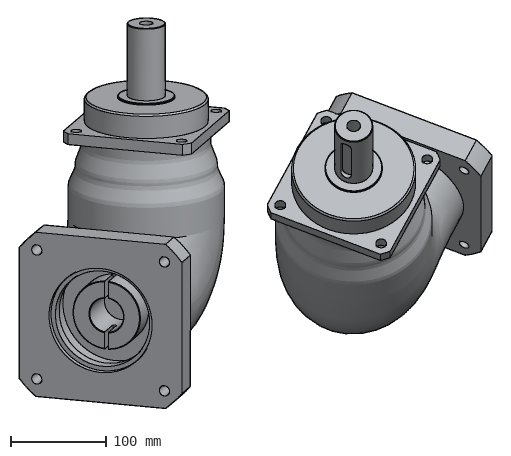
import cadquery as cq
import math


overall_height = 372.7
input_flange_width = 180.0

shaft_top = overall_height - input_flange_width / 2
collar_top = 203.5
pilot_top = 201.5
output_flange_top = 175.5
output_flange_bottom = 163.5
neck_end = 149.5
collar_band_top = 131.0
collar_band_bottom = 123.5
body_cone_end = 106.5

shaft_radius = 20.0
collar_radius = 30.2
collar_chamfer = 0.7
pilot_radius = 65.2
neck_radius = 68.0
collar_band_radius = 75.0
body_radius = 82.5
bend_radius = 11.0

shaft_chamfer = 0.7
pilot_chamfer = 2.0

centre_hole_radius = 7.0
centre_hole_depth = 36.0
drill_point_angle = 118

key_width = 12.0
key_depth = 5.0
key_top = 275.0
key_length = 63.0

pipe_radius = 70.0
elbow_end = 97.3
input_face = 153.5
input_flange_thickness = 28.7

output_flange_width = 142.0
output_corner_radius = 95.0
output_bolt_circle_radius = 82.5
input_corner_radius = 115.0
input_bolt_circle_radius = 100.0
bolt_hole_diameter = 11.0

recess_radius = 57.0
recess_depth = 6.7
lip_radius = 52.0
lip_depth = 19.5
chamber_radius = 57.5
chamber_depth = 47.7

hub_radius = 37.3
hub_face_depth = 19.8
hub_bore_radius = 18.5
hub_bore_depth = 50.0
hub_slot_width = 4.0
hub_chamfer = 0.7

elbow_outer_radius = 114.8
elbow_section_count = 13


def z_cylinder(radius, bottom, top):
    return cq.Workplane("XY").workplane(offset=bottom).circle(radius).extrude(top - bottom)


def input_cylinder(radius, start_depth, end_depth):
    """Cylinder on the input axis between two depths behind the input face."""
    plane = cq.Workplane("XZ", origin=(0, start_depth - input_face, 0))
    return plane.circle(radius).extrude(start_depth - end_depth)


def flange(plane, width, corner_radius, thickness, bolt_circle_radius):
    """Square plate with circular corners and four bolt holes, extruded along the plane normal."""
    hole_spacing = bolt_circle_radius * math.sqrt(2)
    disc = cq.Workplane(plane).circle(corner_radius).extrude(thickness)
    plate = cq.Workplane(plane).rect(width, width).extrude(thickness).intersect(disc)
    holes = (
        cq.Workplane(plane)
        .rect(hole_spacing, hole_spacing, forConstruction=True)
        .vertices()
        .circle(bolt_hole_diameter / 2)
        .extrude(thickness)
    )
    return plate.cut(holes)


def output_housing():
    """Stepped housing turned about Z, with its cone ends blended."""
    profile = [
        (0, pipe_radius),
        (body_radius, pipe_radius),
        (body_radius, body_cone_end),
        (collar_band_radius, collar_band_bottom),
        (collar_band_radius, collar_band_top),
        (neck_radius, neck_end),
        (neck_radius, output_flange_bottom),
        (0, output_flange_bottom),
    ]
    housing = cq.Workplane("XZ").polyline(profile).close().revolve(360, (0, 0), (0, 1))
    cone_ends = housing.edges("%CIRCLE").edges(
        cq.selectors.BoxSelector(
            (-body_radius, -body_radius, body_cone_end - bend_radius),
            (body_radius, body_radius, neck_end + bend_radius),
        )
    )
    return cone_ends.fillet(bend_radius)


def output_shaft():
    shaft = z_cylinder(shaft_radius, output_flange_bottom, shaft_top).faces(">Z").chamfer(shaft_chamfer)
    centre_hole = z_cylinder(centre_hole_radius, shaft_top - centre_hole_depth, shaft_top)
    point_height = centre_hole_radius / math.tan(math.radians(drill_point_angle / 2))
    drill_point = (
        cq.Workplane("XZ", origin=(0, 0, shaft_top - centre_hole_depth))
        .polyline([(0, 0), (centre_hole_radius, 0), (0, -point_height)])
        .close()
        .revolve(360, (0, 0), (0, 1))
    )
    key_slot = (
        cq.Workplane("XZ", origin=(0, shaft_radius - key_depth, key_top - key_length / 2))
        .slot2D(key_length, key_width, 90)
        .extrude(-2 * key_depth)
    )
    return shaft.cut(centre_hole).cut(drill_point).cut(key_slot)


def ellipse(half_width, half_depth, centre, normal):
    """Ellipse wire whose width lies along X; the larger half-axis has to be given first."""
    longer = max(half_width, half_depth)
    shorter = min(half_width, half_depth)
    long_axis = cq.Vector(1, 0, 0) if half_width >= half_depth else normal.cross(cq.Vector(1, 0, 0))
    return cq.Wire.makeEllipse(longer, shorter, centre, normal, long_axis)


def elbow():
    """Loft from the upright body to the input pipe, through planes that turn about the inner corner."""
    pivot_y = -elbow_end
    pivot_z = pipe_radius
    inner_gap = elbow_end - body_radius
    arc_centre_y = body_radius - elbow_outer_radius
    arc_centre_z = elbow_outer_radius - pipe_radius

    def distance_to_outline(turn):
        """Distance from the pivot to the outer outline: upright line, arc, then level line."""
        to_centre_y = arc_centre_y - pivot_y
        to_centre_z = arc_centre_z - pivot_z
        along = to_centre_y * math.cos(turn) - to_centre_z * math.sin(turn)
        across = to_centre_y * math.sin(turn) + to_centre_z * math.cos(turn)
        to_arc = along + math.sqrt(elbow_outer_radius**2 - across**2)
        if pivot_z - to_arc * math.sin(turn) > arc_centre_z:
            return (body_radius - pivot_y) / math.cos(turn)
        if pivot_y + to_arc * math.cos(turn) < arc_centre_y:
            return (pivot_z + pipe_radius) / math.sin(turn)
        return to_arc

    sections = []
    for index in range(elbow_section_count):
        turn = math.pi / 2 * index / (elbow_section_count - 1)
        outer = distance_to_outline(turn)
        inner = inner_gap * (1 - math.sin(turn)) ** 2
        middle = (outer + inner) / 2
        blend = (1 - math.cos(2 * turn)) / 2
        half_width = body_radius + (pipe_radius - body_radius) * blend
        centre = cq.Vector(0, pivot_y + middle * math.cos(turn), pivot_z - middle * math.sin(turn))
        normal = cq.Vector(0, -math.sin(turn), -math.cos(turn))
        sections.append(ellipse(half_width, (outer - inner) / 2, centre, normal))
    return cq.Workplane(cq.Solid.makeLoft(sections))


def motor_recess():
    steps = input_cylinder(recess_radius, 0, recess_depth)
    steps = steps.union(input_cylinder(lip_radius, 0, lip_depth))
    return steps.union(input_cylinder(chamber_radius, lip_depth, chamber_depth))


def clamping_hub():
    hub = input_cylinder(hub_radius, hub_face_depth, chamber_depth)
    hub = hub.cut(input_cylinder(hub_bore_radius, hub_face_depth, chamber_depth))
    hub = hub.faces("<Y").chamfer(hub_chamfer)
    slot_length = chamber_depth - hub_face_depth
    slot = cq.Workplane("XY").box(hub_slot_width, slot_length, 2 * hub_radius)
    return hub.cut(slot.translate((0, hub_face_depth + slot_length / 2 - input_face, 0)))


output_flange = flange(
    cq.Plane((0, 0, output_flange_bottom)),
    output_flange_width,
    output_corner_radius,
    output_flange_top - output_flange_bottom,
    output_bolt_circle_radius,
)
input_flange = flange(
    cq.Plane((0, input_flange_thickness - input_face, 0), xDir=(1, 0, 0), normal=(0, -1, 0)),
    input_flange_width,
    input_corner_radius,
    input_flange_thickness,
    input_bolt_circle_radius,
)
pilot = z_cylinder(pilot_radius, output_flange_bottom, pilot_top).faces(">Z").chamfer(pilot_chamfer)
collar = z_cylinder(collar_radius, pilot_top, collar_top).faces(">Z").chamfer(collar_chamfer)
pipe = input_cylinder(pipe_radius, input_flange_thickness, input_face - elbow_end)
hub_bore = input_cylinder(hub_bore_radius, hub_face_depth, hub_face_depth + hub_bore_depth)

result = (
    output_housing()
    .union(elbow())
    .union(pipe)
    .union(input_flange)
    .union(output_flange)
    .union(pilot)
    .union(collar)
    .union(output_shaft())
    .cut(motor_recess())
    .union(clamping_hub())
    .cut(hub_bore)
)